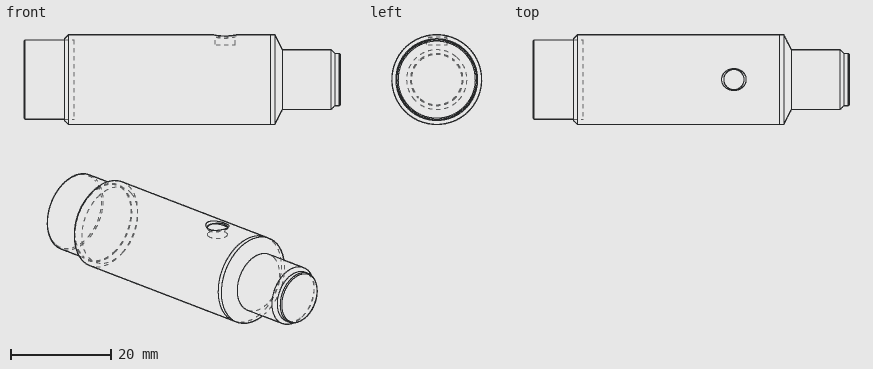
import cadquery as cq

total_length = 63.1
housing_diameter = 18.0
housing_radius = housing_diameter / 2

cap_radius = 7.95
cap_edge_length = 0.2
cap_edge_inset = 0.25
cap_seat_depth = 1.9

housing_start = 8.0
housing_end = 49.15
housing_chamfer = 0.8

collar_end = 50.05
cone_end = 51.55
plug_radius = 6.0
plug_end = 61.3
tip_radius = 5.25
tip_edge_length = 0.25
tip_edge_inset = 0.2

window_x = 40.1
window_radius = 2.0
window_recess = 0.5
window_floor = 6.95
countersink_radius = 2.45


def turned(profile):
    """Revolve (x, radius) points, closed along the X axis, into a solid."""
    outline = [(profile[0][0], 0), *profile, (profile[-1][0], 0)]
    return cq.Workplane("XZ").polyline(outline).close().revolve(360, (0, 0, 0), (1, 0, 0))


def make_cap():
    return turned([
        (0, cap_radius - cap_edge_inset),
        (cap_edge_length, cap_radius),
        (housing_start + cap_seat_depth, cap_radius),
    ])


def make_window():
    """Round light window whose top is curved around the sensor axis, below the housing surface."""
    post = (
        cq.Workplane("XY", origin=(window_x, 0, window_floor))
        .circle(window_radius)
        .extrude(housing_radius - window_floor)
    )
    core = turned([
        (window_x - countersink_radius, housing_radius - window_recess),
        (window_x + countersink_radius, housing_radius - window_recess),
    ])
    return post.intersect(core)


def make_window_pocket():
    """Straight bore for the window, opened by a 45 degree countersink."""
    flare = countersink_radius - window_radius
    return (
        cq.Workplane("XZ", origin=(window_x, 0, 0))
        .moveTo(0, window_floor)
        .lineTo(window_radius, window_floor)
        .lineTo(window_radius, housing_radius - flare)
        .lineTo(countersink_radius, housing_radius)
        .lineTo(0, housing_radius)
        .close()
        .revolve(360, (0, 0, 0), (0, 1, 0))
    )


def make_housing(cap):
    """Chamfered barrel with a seat for the cap and a pocket for the window."""
    barrel = turned([
        (housing_start, housing_radius - housing_chamfer),
        (housing_start + housing_chamfer, housing_radius),
        (housing_end, housing_radius),
    ])
    return barrel.cut(cap).cut(make_window_pocket())


def make_plug():
    """Collar, cone and stepped connector nose."""
    shoulder_end = plug_end + plug_radius - tip_radius
    return turned([
        (housing_end, housing_radius),
        (collar_end, housing_radius),
        (cone_end, plug_radius),
        (plug_end, plug_radius),
        (shoulder_end, tip_radius),
        (total_length - tip_edge_length, tip_radius),
        (total_length, tip_radius - tip_edge_inset),
    ])


cap = make_cap()
window = make_window()
housing = make_housing(cap)
plug = make_plug()

result = cq.Compound.makeCompound([cap.val(), housing.val(), plug.val(), window.val()])